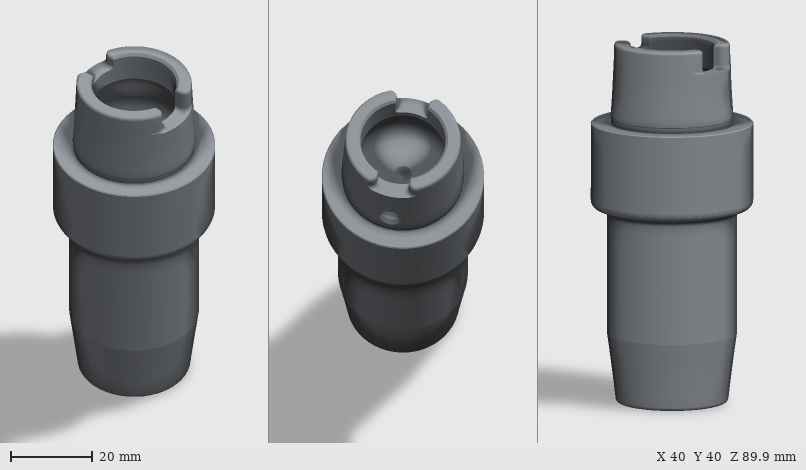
import cadquery as cq
import math

NOSE_Z = 19.9
BODY_END_Z = -70.0

TAPER_BASE_R = 15.1
TAPER_BASE_Z = 1.8
TAPER_SLOPE = 0.0501
NOSE_ROUND = 0.8

RELIEF_R = 15.0
RELIEF_LAND = 0.55
RELIEF_TOP_Z = 1.05
RELIEF_BOTTOM_Z = -0.2
FACE_RECESS_INNER_R = 15.3
FACE_RECESS_OUTER_R = 16.1

FLANGE_R = 20.0
FLANGE_CHAMFER = 0.25
SHOULDER_ANGLE = 22.0
SHOULDER_NECK_Z = -22.5
FLANGE_ROUND = 2.0
SHOULDER_ROUND = 0.8

NECK_R = 16.0
NECK_END_Z = -52.9
BODY_END_R = 13.8
BODY_END_ROUND = 1.0

BORE_R = 10.5
BORE_CHAMFER = 0.6
BORE_END_Z = 12.2
CAVITY_R = 12.75
CLAMP_ANGLE = 30.0
CAVITY_FLOOR_Z = 1.3
CAVITY_ROUND = 2.9
CENTER_POINT_R = 2.1
CENTER_POINT_ANGLE = 90.0

SLOT_HALF_WIDTH = 4.03
LOBE_REACH = 14.3
LOBE_ROUND = 1.8
SLOT_FLOOR_ROUND = 1.0
SHALLOW_SLOT_FLOOR_Z = 16.45
DEEP_SLOT_FLOOR_Z = 13.9

CROSS_HOLE_R = 2.3
CROSS_HOLE_Z = 6.0
CROSS_SINK_R = 2.8
CROSS_SINK_X = 14.6
CROSS_SINK_LEAD = 1.0


def taper_radius(z):
    """Outer radius of the taper shank at level z."""
    return TAPER_BASE_R - (z - TAPER_BASE_Z) * TAPER_SLOPE


def revolve(points):
    """Solid of revolution around Z from (radius, z) points."""
    return cq.Workplane("XZ").polyline(points).close().revolve(360, (0, 0, 0), (0, 1, 0))


def ring_edge(radius, z):
    """Selector for the circles around Z at this level that are no larger than this radius."""
    margin = 0.05
    reach = radius + margin
    return cq.selectors.BoxSelector(
        (-reach, -reach, z - margin), (reach, reach, z + margin), boundingbox=True
    )


def make_body():
    shoulder_z = SHOULDER_NECK_Z + (FLANGE_R - NECK_R) * math.tan(math.radians(SHOULDER_ANGLE))
    body = revolve([
        (0, NOSE_Z),
        (taper_radius(NOSE_Z), NOSE_Z),
        (TAPER_BASE_R, TAPER_BASE_Z),
        (TAPER_BASE_R, TAPER_BASE_Z - RELIEF_LAND),
        (RELIEF_R, RELIEF_TOP_Z),
        (RELIEF_R, RELIEF_BOTTOM_Z),
        (FACE_RECESS_INNER_R, RELIEF_BOTTOM_Z),
        (FACE_RECESS_OUTER_R, 0),
        (FLANGE_R - FLANGE_CHAMFER, 0),
        (FLANGE_R, -FLANGE_CHAMFER),
        (FLANGE_R, shoulder_z),
        (NECK_R, SHOULDER_NECK_Z),
        (NECK_R, NECK_END_Z),
        (BODY_END_R, BODY_END_Z),
        (0, BODY_END_Z),
    ])
    body = body.edges(ring_edge(taper_radius(NOSE_Z), NOSE_Z)).fillet(NOSE_ROUND)
    body = body.edges(ring_edge(FLANGE_R, shoulder_z)).fillet(FLANGE_ROUND)
    body = body.edges(ring_edge(NECK_R, SHOULDER_NECK_Z)).fillet(SHOULDER_ROUND)
    return body.edges(ring_edge(BODY_END_R, BODY_END_Z)).fillet(BODY_END_ROUND)


def make_cavity():
    cone_end_z = BORE_END_Z - (CAVITY_R - BORE_R) * math.tan(math.radians(CLAMP_ANGLE))
    point_depth = CENTER_POINT_R / math.tan(math.radians(CENTER_POINT_ANGLE / 2))
    cavity = revolve([
        (0, NOSE_Z),
        (BORE_R + BORE_CHAMFER, NOSE_Z),
        (BORE_R, NOSE_Z - BORE_CHAMFER),
        (BORE_R, BORE_END_Z),
        (CAVITY_R, cone_end_z),
        (CAVITY_R, CAVITY_FLOOR_Z),
        (0, CAVITY_FLOOR_Z),
    ])
    cavity = cavity.edges(ring_edge(CAVITY_R, CAVITY_FLOOR_Z)).fillet(CAVITY_ROUND)
    center_point = revolve([
        (0, CAVITY_FLOOR_Z),
        (CENTER_POINT_R, CAVITY_FLOOR_Z),
        (0, CAVITY_FLOOR_Z - point_depth),
    ])
    return cavity.union(center_point)


def make_lobe(floor_z):
    """Block on +Y, left standing beside a slot, with a rounded corner and a rounded top rim."""
    center_y = SLOT_HALF_WIDTH + LOBE_ROUND
    center_distance = LOBE_REACH - LOBE_ROUND
    center_x = math.sqrt(center_distance**2 - center_y**2)
    end_angle = math.asin(center_y / center_distance)
    mid_angle = (end_angle - math.pi / 2) / 2
    mid_point = (center_x + LOBE_ROUND * math.cos(mid_angle), center_y + LOBE_ROUND * math.sin(mid_angle))
    end_point = (LOBE_REACH * math.cos(end_angle), LOBE_REACH * math.sin(end_angle))
    back_x = end_point[0] - (FLANGE_R - end_point[1]) * math.tan(end_angle)
    lobe = (
        cq.Workplane("XY")
        .workplane(offset=floor_z)
        .moveTo(0, SLOT_HALF_WIDTH)
        .lineTo(center_x, SLOT_HALF_WIDTH)
        .threePointArc(mid_point, end_point)
        .lineTo(back_x, FLANGE_R)
        .lineTo(0, FLANGE_R)
        .close()
        .extrude(NOSE_Z - floor_z)
    )
    return lobe.faces(">Z").edges("(not <X) and (not >Y)").fillet(NOSE_ROUND)


def make_slot(floor_z):
    """Cutter on +X that flares around the two lobes and has a rounded floor edge."""
    lobe = make_lobe(floor_z)
    slot = (
        cq.Workplane("XY")
        .workplane(offset=floor_z)
        .rect(FLANGE_R, 2 * FLANGE_R)
        .extrude(NOSE_Z - floor_z)
        .translate((FLANGE_R / 2, 0, 0))
        .cut(lobe)
        .cut(lobe.mirror("XZ"))
    )
    return slot.faces("<Z").edges("(not <X) and (not >X) and (not <Y) and (not >Y)").fillet(SLOT_FLOOR_ROUND)


def make_cross_hole():
    """Through hole along X with a 90 degree countersink at both mouths."""
    sink_depth = CROSS_SINK_R - CROSS_HOLE_R
    mouth_x = CROSS_SINK_X + CROSS_SINK_LEAD
    half = (
        cq.Workplane("XY")
        .moveTo(0, 0)
        .lineTo(mouth_x, 0)
        .lineTo(mouth_x, CROSS_SINK_R + CROSS_SINK_LEAD)
        .lineTo(CROSS_SINK_X - sink_depth, CROSS_HOLE_R)
        .lineTo(0, CROSS_HOLE_R)
        .close()
        .revolve(360, (0, 0, 0), (1, 0, 0))
        .translate((0, 0, CROSS_HOLE_Z))
    )
    return half.union(half.mirror("YZ"))


result = (
    make_body()
    .cut(make_slot(DEEP_SLOT_FLOOR_Z))
    .cut(make_slot(SHALLOW_SLOT_FLOOR_Z).mirror("YZ"))
    .cut(make_cavity())
    .cut(make_cross_hole())
)